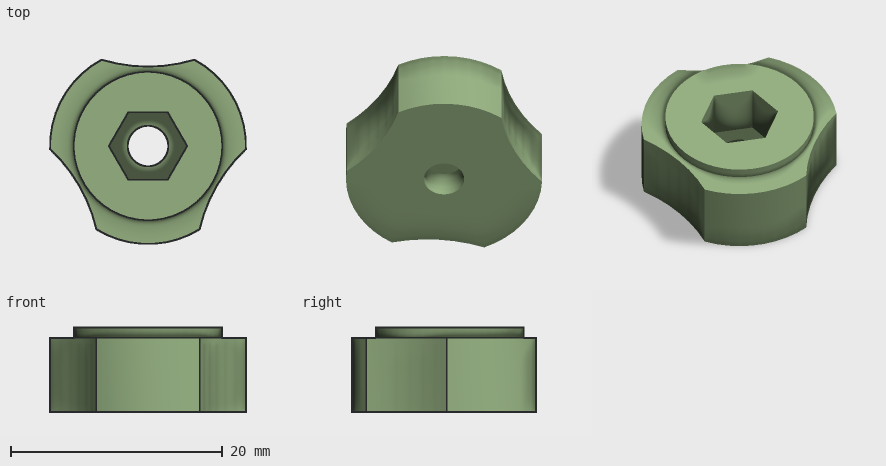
import cadquery as cq
import math

body_radius = 9.25
body_height = 7.0
boss_diameter = 14.0
boss_height = 1.0
bore_diameter = 3.8
hex_across_flats = 6.4
hex_depth = 5.0
hex_sides = 6
scallop_count = 3
scallop_radius = 15.0
scallop_floor_radius = 7.5
first_scallop_angle = 90.0

scallop_spacing = 360 / scallop_count
total_height = body_height + boss_height
hex_across_corners = hex_across_flats / math.cos(math.pi / hex_sides)


def make_scallop(angle):
    """Large cylinder that cuts one concave grip into the rim."""
    axis_distance = scallop_floor_radius + scallop_radius
    x = axis_distance * math.cos(math.radians(angle))
    y = axis_distance * math.sin(math.radians(angle))
    return cq.Workplane("XY").center(x, y).circle(scallop_radius).extrude(body_height)


def make_body():
    """Round knob with evenly spaced scallops around the rim."""
    body = cq.Workplane("XY").circle(body_radius).extrude(body_height)
    for index in range(scallop_count):
        body = body.cut(make_scallop(first_scallop_angle + index * scallop_spacing))
    return body


def make_boss():
    """Low round shoulder on top of the knob."""
    return cq.Workplane("XY").workplane(offset=body_height).circle(boss_diameter / 2).extrude(boss_height)


def make_bore():
    """Screw hole through the full height."""
    return cq.Workplane("XY").circle(bore_diameter / 2).extrude(total_height)


def make_hex_pocket():
    """Hexagonal pocket for the screw head, open at the top, with corners on the X axis."""
    pocket_floor = total_height - hex_depth
    floor_plane = cq.Workplane("XY").workplane(offset=pocket_floor)
    return floor_plane.polygon(hex_sides, hex_across_corners).extrude(hex_depth)


result = make_body().union(make_boss()).cut(make_bore()).cut(make_hex_pocket())